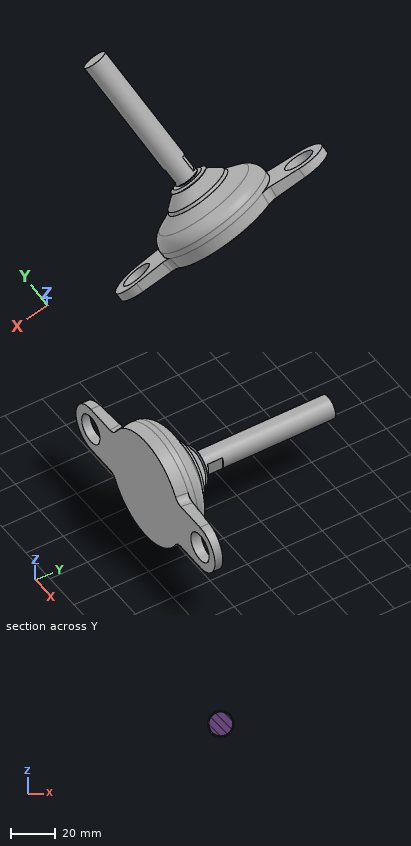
import cadquery as cq

overall_length = 116.0
overall_height = 98.0

ear_width = 25.0
ear_radius = ear_width / 2
hole_spacing = overall_length - ear_width
hole_diameter = 15.1
ear_tip_height = 4.3
ear_root_x = 25.5
root_fillet = 5.0

bottom_radius = 29.2
rim_radius = 29.99
rim_height = 6.3
wall_top_height = 9.2
bulge_mid_radius = 28.7
bulge_mid_height = 12.8
shoulder_radius = 25.3
shoulder_height = 15.5
collar_radius = 16.7
collar_height = 19.8
seat_radius = 15.9
seat_height = 21.3

dome_mid_radius = 12.8
dome_mid_height = 24.0
dome_top_radius = 8.8
dome_top_height = 26.6
lip_radius = 10.0
lip_height = 27.1
lip_top_radius = 7.9
lip_top_height = 28.0

rod_radius = 6.0
neck_radius = 5.5
rod_start_height = 28.4
flat_start_height = 30.0
flat_end_height = 38.0
across_flats = 10.0


def make_rim():
    """Tapered wall at the bottom of the pad."""
    outline = (
        cq.Workplane("XY")
        .lineTo(bottom_radius, 0)
        .lineTo(rim_radius, rim_height)
        .lineTo(0, rim_height)
        .close()
    )
    return outline.revolve(360, (0, 0, 0), (0, 1, 0))


def make_upper_pad():
    """Straight wall, rounded shoulder and conical collar of the pad."""
    outline = (
        cq.Workplane("XY")
        .moveTo(0, rim_height)
        .lineTo(rim_radius, rim_height)
        .lineTo(rim_radius, wall_top_height)
        .threePointArc((bulge_mid_radius, bulge_mid_height), (shoulder_radius, shoulder_height))
        .lineTo(collar_radius, collar_height)
        .lineTo(seat_radius, seat_height)
        .lineTo(0, seat_height)
        .close()
    )
    return outline.revolve(360, (0, 0, 0), (0, 1, 0))


def make_ear_roof():
    """Envelope that slopes the tops of the ears down to their tips."""
    half_length = overall_length / 2
    outline = (
        cq.Workplane("XY")
        .polyline([
            (-half_length, 0),
            (half_length, 0),
            (half_length, ear_tip_height),
            (ear_root_x, rim_height),
            (-ear_root_x, rim_height),
            (-half_length, ear_tip_height),
        ])
        .close()
    )
    return outline.extrude(rim_radius, both=True)


def make_pad():
    rim = make_rim()
    ears = cq.Workplane("XZ").slot2D(overall_length, ear_width).extrude(-rim_height)
    corner_box = cq.selectors.BoxSelector(
        (-rim_radius, rim_height / 4, -rim_radius),
        (rim_radius, rim_height * 3 / 4, rim_radius),
    )
    base = rim.union(ears).edges(corner_box).fillet(root_fillet)
    base = base.intersect(make_ear_roof()).union(rim)
    holes = (
        cq.Workplane("XZ")
        .pushPoints([(-hole_spacing / 2, 0), (hole_spacing / 2, 0)])
        .circle(hole_diameter / 2)
        .extrude(-rim_height)
    )
    return base.cut(holes).union(make_upper_pad())


def make_stud():
    outline = (
        cq.Workplane("XY")
        .moveTo(0, seat_height)
        .lineTo(seat_radius, seat_height)
        .threePointArc((dome_mid_radius, dome_mid_height), (dome_top_radius, dome_top_height))
        .lineTo(lip_radius, lip_height)
        .lineTo(lip_top_radius, lip_top_height)
        .lineTo(neck_radius, lip_top_height)
        .lineTo(neck_radius, rod_start_height)
        .lineTo(rod_radius, rod_start_height)
        .lineTo(rod_radius, overall_height)
        .lineTo(0, overall_height)
        .close()
    )
    stud = outline.revolve(360, (0, 0, 0), (0, 1, 0))
    flat_length = flat_end_height - flat_start_height
    for side in (-1, 1):
        cutter = cq.Workplane("XY").box(rod_radius, flat_length, 2 * rod_radius)
        cutter_x = side * (across_flats + rod_radius) / 2
        stud = stud.cut(cutter.translate((cutter_x, flat_start_height + flat_length / 2, 0)))
    return stud


pad = make_pad()
stud = make_stud()
result = cq.Compound.makeCompound([pad.solids().val(), stud.solids().val()])